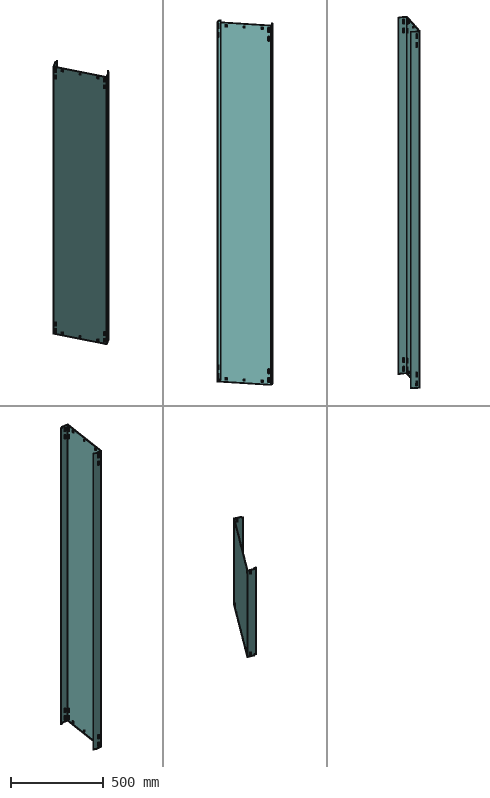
import cadquery as cq
import math

width = 300.0
depth = 49.97
height = 2000.0
sheet = 2.0
bend_radius = 1.5
joggle_angle = 50.0
joggle_start = 38.5
lip_inset = 5.5

slot_length = 24.0
slot_width = 6.5
slot_end_distance = 26.0
slot_pitch = 49.0
web_slot_inset = 13.0
flange_slot_y = 18.0

row_end_distance = 18.0
square_hole = 9.0
square_hole_x = 100.0
round_hole_diameter = 7.0

half_width = width / 2
slot_levels = [
    slot_end_distance,
    slot_end_distance + slot_pitch,
    height - slot_end_distance - slot_pitch,
    height - slot_end_distance,
]
row_levels = [row_end_distance, height - row_end_distance]


def mirrored(x_distance, levels):
    """Points (x, z) on both sides of the middle plane at every level."""
    return [(side * x_distance, z) for side in (-1, 1) for z in levels]


def channel():
    """Constant section along Z, with both lip bends rounded at uniform sheet thickness."""
    lip_x = half_width - lip_inset
    joggle_end = joggle_start + lip_inset / math.tan(math.radians(joggle_angle))
    corner_drop = sheet * math.tan(math.radians(joggle_angle / 2))

    first_outer = (half_width, joggle_start)
    first_inner = (half_width - sheet, joggle_start - corner_drop)
    second_outer = (lip_x, joggle_end)
    second_inner = (lip_x - sheet, joggle_end - corner_drop)

    right_side = [
        (half_width, 0),
        first_outer,
        second_outer,
        (lip_x, depth),
        (lip_x - sheet, depth),
        second_inner,
        first_inner,
        (half_width - sheet, sheet),
    ]
    left_side = [(-x, y) for x, y in reversed(right_side)]
    body = cq.Workplane("XY").polyline(right_side + left_side).close().extrude(height)

    outer_radius = bend_radius + sheet
    body = round_corner(body, first_outer, outer_radius)
    body = round_corner(body, first_inner, bend_radius)
    body = round_corner(body, second_outer, bend_radius)
    return round_corner(body, second_inner, outer_radius)


def round_corner(body, corner, radius):
    """Fillet the full-height edge at a section corner and its mirror image."""
    x, y = corner
    reach = sheet / 4
    for side in (-1, 1):
        low = (side * x - reach, y - reach, -reach)
        high = (side * x + reach, y + reach, height + reach)
        body = body.edges(cq.selectors.BoxSelector(low, high)).fillet(radius)
    return body


def web_plane():
    return cq.Workplane("XZ")


def web_slots():
    points = mirrored(half_width - web_slot_inset, slot_levels)
    return web_plane().pushPoints(points).slot2D(slot_length, slot_width, 90).extrude(-sheet)


def flange_slots():
    points = [(flange_slot_y, z) for z in slot_levels]
    sketch = cq.Workplane("YZ").pushPoints(points).slot2D(slot_length, slot_width, 90)
    return sketch.extrude(half_width, both=True)


def square_holes():
    points = mirrored(square_hole_x, row_levels)
    return web_plane().pushPoints(points).rect(square_hole, square_hole).extrude(-sheet)


def round_holes():
    points = [(0, z) for z in row_levels]
    return web_plane().pushPoints(points).circle(round_hole_diameter / 2).extrude(-sheet)


result = channel()
for cutter in (web_slots(), flange_slots(), square_holes(), round_holes()):
    result = result.cut(cutter)